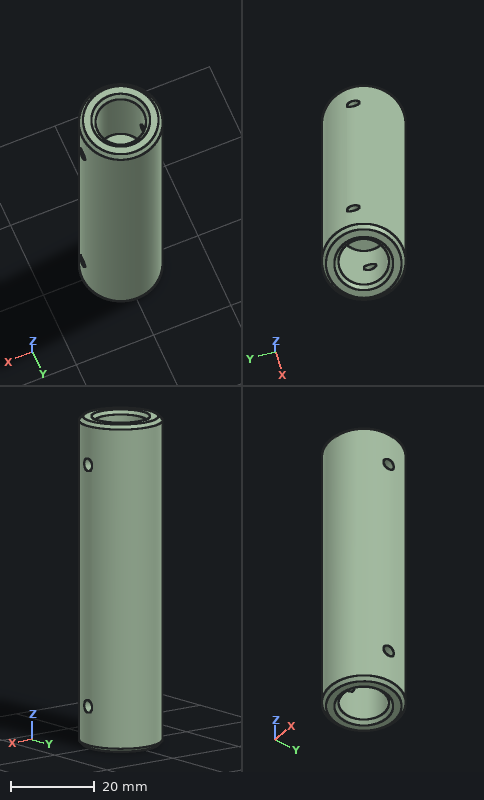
import cadquery as cq

length = 80.0
outer_diameter = 20.0
bore_diameter = 12.0
bore_depth = 20.0
pin_hole_diameter = 3.0
pin_hole_inset = 10.5
chamfer = outer_diameter / 20

bore_radius = bore_diameter / 2


def bore_cutter():
    """Blind bore entering from the bottom face, with a chamfered mouth."""
    return (
        cq.Workplane("XZ")
        .moveTo(0, 0)
        .lineTo(bore_radius + chamfer, 0)
        .lineTo(bore_radius, chamfer)
        .lineTo(bore_radius, bore_depth)
        .lineTo(0, bore_depth)
        .close()
        .revolve(360, (0, 0, 0), (0, 1, 0))
    )


def pin_hole_cutter(height):
    """Cross hole along X, passing through both walls."""
    return (
        cq.Workplane("YZ")
        .center(0, height)
        .circle(pin_hole_diameter / 2)
        .extrude(outer_diameter, both=True)
    )


result = (
    cq.Workplane("XY")
    .circle(outer_diameter / 2)
    .extrude(length)
    .edges("%CIRCLE")
    .chamfer(chamfer)
)

bottom_bore = bore_cutter()
top_bore = bottom_bore.mirror("XY", (0, 0, length / 2))
result = result.cut(bottom_bore).cut(top_bore)

for hole_height in (pin_hole_inset, length - pin_hole_inset):
    result = result.cut(pin_hole_cutter(hole_height))